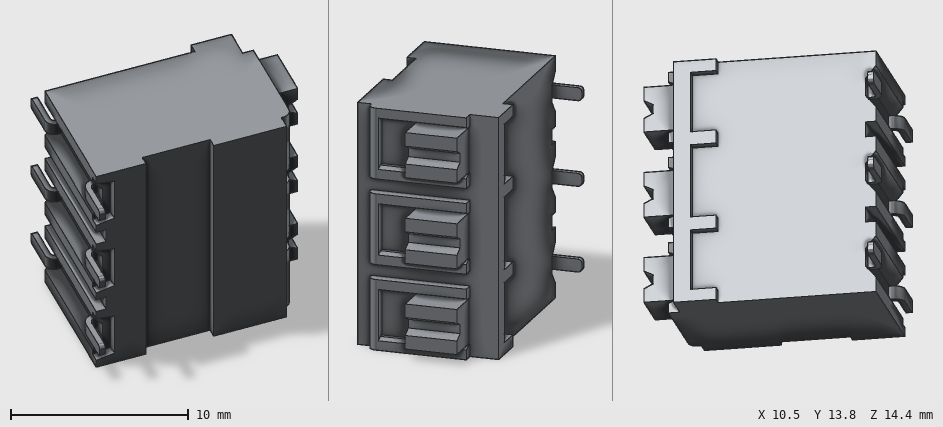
import cadquery as cq


height = 14.36
depth = 13.85
lead_span = 10.5
lead_front = -0.22

pitch = 5.08
switch_count = 3
switch_height = height - (switch_count - 1) * pitch
gap_height = pitch - switch_height
switch_centers = [(i - (switch_count - 1) / 2) * pitch for i in range(switch_count)]
gap_centers = [(i - (switch_count - 2) / 2) * pitch for i in range(switch_count - 1)]

rail_left = -4.22
body_left = -3.63
body_right = 4.18
groove_floor = 3.63
shoulder_y = 11.55

rail_start = 10.55
hook_start = 9.09
hook_height = 0.78
end_hook_height = 0.7

groove_start = 3.02
groove_end = 7.12

notch_half_mouth = 1.58
notch_half_root = 1.4
notch_depth_inner = 1.08
notch_depth_outer = 1.12

channel_depth = 0.6
channel_half_mouth = 1.22
channel_half_floor = 0.5

tab_left = -2.51
tab_right = 3.37
tab_y = 12.19
tab_corner_radius = 0.5
pocket_right = 2.73
pocket_half = 1.38
pocket_half_mouth = 1.52
pocket_flare_depth = 0.37

slider_left = -2.45
slider_right = 0.63
slider_height = 2.67
slider_y = depth + lead_front
finger_half_mouth = 0.53
finger_half_floor = 0.26
finger_depth = 0.55

lead_thickness = 0.35
lead_width = 0.78
lead_outer_radius = 0.6
lead_inner_radius = lead_outer_radius - lead_thickness
lead_foot_x = 2.55
lead_tip_radius = 0.25
lead_embed = 0.29


def block(x0, x1, y0, y1, z_center, z_size):
    """Box between two X and two Y limits, centred on a height."""
    return (
        cq.Workplane("XY")
        .box(x1 - x0, y1 - y0, z_size, centered=(False, False, True))
        .translate((x0, y0, z_center))
    )


def prism_along_x(yz_points, x0, x1, z_center):
    """Prism along X with a Y-Z outline."""
    return (
        cq.Workplane("YZ")
        .polyline(yz_points)
        .close()
        .extrude(x1 - x0)
        .translate((x0, 0, z_center))
    )


def tapered_prism(y0, half0, y1, half1, x0, x1, z_center):
    """Symmetric trapezoid prism whose half height changes from half0 to half1 along Y."""
    outline = [(y0, -half0), (y0, half0), (y1, half1), (y1, -half1)]
    return prism_along_x(outline, x0, x1, z_center)


def right_notch(z_center):
    sides = tapered_prism(
        0, notch_half_mouth, notch_depth_outer, notch_half_root, groove_floor, body_right, z_center
    )
    floor_limit = (
        cq.Workplane("XY")
        .moveTo(groove_floor, 0)
        .lineTo(body_right, 0)
        .lineTo(body_right, notch_depth_outer)
        .lineTo(groove_floor, notch_depth_inner)
        .close()
        .extrude(notch_half_mouth, both=True)
        .translate((0, 0, z_center))
    )
    return sides.intersect(floor_limit)


def tab_block(z_center):
    tab = block(tab_left, tab_right, shoulder_y, tab_y, z_center, switch_height)
    tab = tab.edges("|Z and >X and >Y").fillet(tab_corner_radius)
    pocket = block(tab_left, pocket_right, shoulder_y, tab_y, z_center, 2 * pocket_half)
    flare = tapered_prism(
        tab_y - pocket_flare_depth, pocket_half, tab_y, pocket_half_mouth, tab_left, pocket_right, z_center
    )
    return tab.cut(pocket).cut(flare)


def slider(z_center):
    body = block(slider_left, slider_right, shoulder_y, slider_y, z_center, slider_height)
    finger_groove = tapered_prism(
        slider_y - finger_depth, finger_half_floor, slider_y, finger_half_mouth,
        slider_left, slider_right, z_center,
    )
    return body.cut(finger_groove)


def right_lead(z_center):
    """L-bent strip: a foot leaving the channel floor, a round bend and an arm pointing to +X."""
    bend_x = lead_foot_x + lead_outer_radius
    bend_y = lead_front + lead_outer_radius
    tip_x = lead_span / 2
    foot_y = channel_depth + lead_embed
    arm_back = lead_front + lead_thickness
    diagonal = 0.5 ** 0.5
    outer_mid = (bend_x - lead_outer_radius * diagonal, bend_y - lead_outer_radius * diagonal)
    inner_mid = (bend_x - lead_inner_radius * diagonal, bend_y - lead_inner_radius * diagonal)
    lead = (
        cq.Workplane("XY")
        .moveTo(lead_foot_x, foot_y)
        .lineTo(lead_foot_x, bend_y)
        .threePointArc(outer_mid, (bend_x, lead_front))
        .lineTo(tip_x, lead_front)
        .lineTo(tip_x, arm_back)
        .lineTo(bend_x, arm_back)
        .threePointArc(inner_mid, (bend_x - lead_inner_radius, bend_y))
        .lineTo(bend_x - lead_inner_radius, foot_y)
        .close()
        .extrude(lead_width / 2, both=True)
    )
    return lead.edges("|Y and >X").fillet(lead_tip_radius).translate((0, 0, z_center))


result = block(body_left, body_right, 0, shoulder_y, 0, height)
result = result.union(block(rail_left, body_left, rail_start, shoulder_y, 0, height))

for z in gap_centers:
    result = result.union(block(rail_left, body_left, hook_start, rail_start, z, hook_height))
for side in (-1, 1):
    end_center = side * (height - end_hook_height) / 2
    result = result.union(block(rail_left, body_left, hook_start, rail_start, end_center, end_hook_height))

result = result.cut(block(groove_floor, body_right, groove_start, groove_end, 0, height))

for z in gap_centers:
    result = result.cut(block(body_left, body_right, 0, channel_depth, z, gap_height))

for z in switch_centers:
    channel = tapered_prism(
        0, channel_half_mouth, channel_depth, channel_half_floor, body_left, body_right, z
    )
    lead = right_lead(z)
    result = result.cut(channel).cut(right_notch(z))
    result = result.union(tab_block(z)).union(slider(z))
    result = result.union(lead).union(lead.mirror("YZ"))